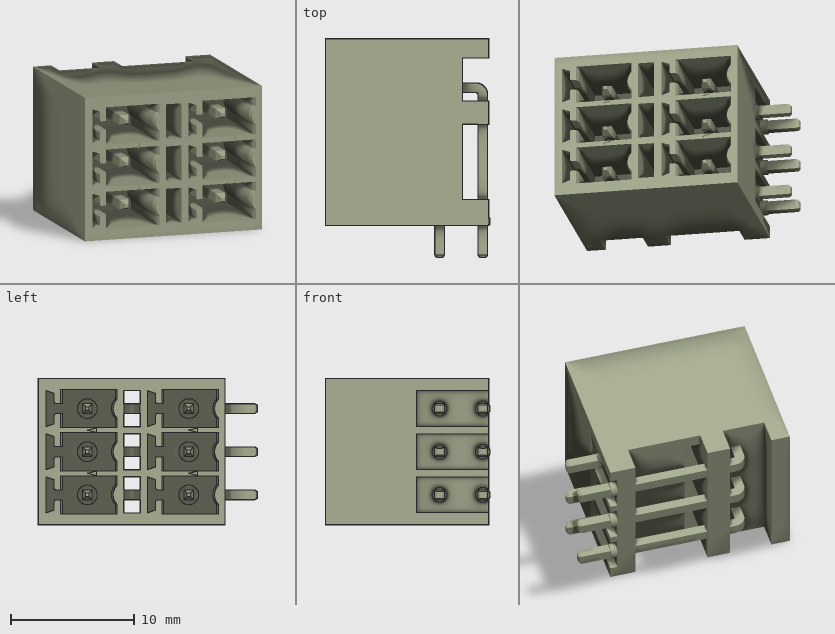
import cadquery as cq
import math


ROW_PITCH = 3.5
COLUMN_PITCH = 8.25
ROWS = [-ROW_PITCH, 0, ROW_PITCH]
LOWER_COLUMN_Y = 2.95
COLUMNS = [LOWER_COLUMN_Y, LOWER_COLUMN_Y + COLUMN_PITCH]

HOUSING_X = 13.3
HOUSING_Y = 15.18
HOUSING_Z = 11.9
REAR_RECESS_X = 11.16
REAR_RECESSES_Y = [(2.12, 8.22), (10.13, 13.62)]
WINDOW_Y = (6.9, 8.22)
WINDOW_HEIGHT = 2.92

PIN_WIDTH = 0.8
TAIL_LENGTH = 17.8 - HOUSING_Y
REAR_TAIL_X = 12.8
TAILS_X = [REAR_TAIL_X - ROW_PITCH, REAR_TAIL_X]
BEND_INNER_RADIUS = 0.15
BEND_OUTER_RADIUS = BEND_INNER_RADIUS + PIN_WIDTH
PIN_TIP_X = 1.12
PIN_TIP_LENGTH = 0.78
PIN_TIP_WIDTH = 0.27
TAIL_TIP_TOTAL = 0.35
TAIL_TIP_LENGTH = 0.21
TAIL_TIP_INSET = 0.12
TAIL_TIP_RADIUS = 0.3

POCKET_START_X = 7.42
POCKET_HEIGHT = 2.9
POCKET_DEPTH = 0.6
COLLAR_RADIUS = 0.6
COLLAR_HEIGHT = 0.53

CAVITY_DEPTH = 6.95
CAVITY_HALF_HEIGHT = 1.55
CAVITY_RIDGE_SIDE = 2.17
CAVITY_KEY_SIDE = -2.42
KEY_HALF_HEIGHT = 0.78
KEY_RISE = 0.32
LEAD_IN_DEPTH = 0.45
LEAD_IN_WIDTH = 0.15
NECK_HALF_HEIGHT = 0.41
NECK_ROUNDING = 0.15
SLOT_NEAR = 2.69
SLOT_FAR = 3.35
SLOT_NEAR_HALF_HEIGHT = 1.23
SLOT_FAR_HALF_HEIGHT = 1.46
BOSS_RADIUS = 0.8
BOSS_HEIGHT = 0.35

MARK_LENGTH = 0.73
MARK_WIDTH = 0.35
MARK_DEPTH = 0.12


def block(x, y, z):
    """Box spanning the given (low, high) ranges."""
    size = (x[1] - x[0], y[1] - y[0], z[1] - z[0])
    return cq.Workplane("XY").box(*size, centered=False).translate((x[0], y[0], z[0]))


def centred_range(middle, length):
    return (middle - length / 2, middle + length / 2)


def cavity_outline(plane, inset):
    """Rectangle with a rounded key on its -Y side; both Y sides move inwards by inset."""
    ridge_side = CAVITY_RIDGE_SIDE - inset
    key_side = CAVITY_KEY_SIDE + inset
    return (
        plane.moveTo(ridge_side, -CAVITY_HALF_HEIGHT)
        .lineTo(ridge_side, CAVITY_HALF_HEIGHT)
        .lineTo(key_side, CAVITY_HALF_HEIGHT)
        .lineTo(key_side, KEY_HALF_HEIGHT)
        .threePointArc((key_side + KEY_RISE, 0), (key_side, -KEY_HALF_HEIGHT))
        .lineTo(key_side, -CAVITY_HALF_HEIGHT)
        .close()
    )


def latch_slot():
    """Slot with sloped ends, joined to the cavity by a neck with a rounded mouth."""
    arc_offset = NECK_ROUNDING * (1 - math.sqrt(0.5))
    neck_start = SLOT_NEAR - NECK_ROUNDING
    mouth = NECK_HALF_HEIGHT + NECK_ROUNDING
    arc_middle = (SLOT_NEAR - arc_offset, NECK_HALF_HEIGHT + arc_offset)
    return (
        cq.Workplane("YZ")
        .moveTo(0, -NECK_HALF_HEIGHT)
        .lineTo(neck_start, -NECK_HALF_HEIGHT)
        .threePointArc((arc_middle[0], -arc_middle[1]), (SLOT_NEAR, -mouth))
        .lineTo(SLOT_NEAR, -SLOT_NEAR_HALF_HEIGHT)
        .lineTo(SLOT_FAR, -SLOT_FAR_HALF_HEIGHT)
        .lineTo(SLOT_FAR, SLOT_FAR_HALF_HEIGHT)
        .lineTo(SLOT_NEAR, SLOT_NEAR_HALF_HEIGHT)
        .lineTo(SLOT_NEAR, mouth)
        .threePointArc(arc_middle, (neck_start, NECK_HALF_HEIGHT))
        .lineTo(0, NECK_HALF_HEIGHT)
        .close()
        .extrude(CAVITY_DEPTH)
    )


def plug_cavity():
    """Space for one plug pole, with its pin axis along X through the origin."""
    straight = cavity_outline(cq.Workplane("YZ"), LEAD_IN_WIDTH).extrude(CAVITY_DEPTH)
    mouth = cavity_outline(cq.Workplane("YZ"), 0)
    lead_in = cavity_outline(mouth.workplane(offset=LEAD_IN_DEPTH), LEAD_IN_WIDTH).loft(ruled=True)
    boss = (
        cq.Workplane("YZ", origin=(CAVITY_DEPTH - BOSS_HEIGHT, 0, 0))
        .circle(BOSS_RADIUS)
        .extrude(BOSS_HEIGHT)
    )
    return straight.union(lead_in).union(latch_slot()).cut(boss)


def rib_mark():
    """Triangular mark pointing to +Y, sunk into the mating face."""
    corners = [
        (0, 0),
        (-MARK_LENGTH, MARK_WIDTH / 2),
        (-MARK_LENGTH, -MARK_WIDTH / 2),
    ]
    return cq.Workplane("YZ").polyline(corners).close().extrude(MARK_DEPTH)


def tail_tip(tail_x):
    """Free end of a solder tail, tapered in Z and with its corners rounded in X."""
    half = PIN_WIDTH / 2
    base_y = TAIL_TIP_TOTAL - TAIL_LENGTH
    taper_y = TAIL_TIP_LENGTH - TAIL_LENGTH
    end_half = half - TAIL_TIP_INSET
    tapered = (
        cq.Workplane("YZ", origin=(tail_x - half, 0, 0))
        .polyline([
            (base_y, -half),
            (taper_y, -half),
            (-TAIL_LENGTH, -end_half),
            (-TAIL_LENGTH, end_half),
            (taper_y, half),
            (base_y, half),
        ])
        .close()
        .extrude(PIN_WIDTH)
    )
    rounded = block((tail_x - half, tail_x + half), (-TAIL_LENGTH, base_y), (-half, half))
    rounded = rounded.edges("|Z and <Y").fillet(TAIL_TIP_RADIUS)
    return tapered.intersect(rounded)


def pin(contact_y, tail_x):
    """Square pin running along X from the contact tip, then bent down to its solder tail."""
    shank_x = PIN_TIP_X + PIN_TIP_LENGTH
    half = PIN_WIDTH / 2
    shank_end = tail_x + half
    bar = block((shank_x, shank_end), centred_range(contact_y, PIN_WIDTH), (-half, half))
    tail_y = (TAIL_TIP_TOTAL - TAIL_LENGTH, contact_y + half)
    tail = block((tail_x - half, shank_end), tail_y, (-half, half))
    inner_corner = cq.selectors.NearestToPointSelector((tail_x - half, contact_y - half, 0))
    outer_corner = cq.selectors.NearestToPointSelector((shank_end, contact_y + half, 0))
    bent = bar.union(tail).clean()
    bent = bent.edges("|Z").edges(inner_corner).fillet(BEND_INNER_RADIUS)
    bent = bent.edges("|Z").edges(outer_corner).fillet(BEND_OUTER_RADIUS)
    contact_tip = (
        cq.Workplane("YZ", origin=(PIN_TIP_X, contact_y, 0))
        .rect(PIN_TIP_WIDTH, PIN_TIP_WIDTH)
        .workplane(offset=PIN_TIP_LENGTH)
        .rect(PIN_WIDTH, PIN_WIDTH)
        .loft(ruled=True)
    )
    return bent.union(tail_tip(tail_x)).union(contact_tip)


def collar(tail_x):
    """Round collar around a solder tail, standing on the pocket floor."""
    return (
        cq.Workplane("XZ", origin=(tail_x, POCKET_DEPTH, 0))
        .circle(COLLAR_RADIUS)
        .extrude(COLLAR_HEIGHT)
    )


housing = block((0, HOUSING_X), (0, HOUSING_Y), centred_range(0, HOUSING_Z))
for recess_y in REAR_RECESSES_Y:
    housing = housing.cut(block((REAR_RECESS_X, HOUSING_X), recess_y, centred_range(0, HOUSING_Z)))

cavity = plug_cavity()
for row_z in ROWS:
    for column_y in COLUMNS:
        housing = housing.cut(cavity.translate((0, column_y, row_z)))
    housing = housing.cut(block((0, HOUSING_X), WINDOW_Y, centred_range(row_z, WINDOW_HEIGHT)))
    pocket_z = centred_range(row_z, POCKET_HEIGHT)
    housing = housing.cut(block((POCKET_START_X, HOUSING_X), (0, POCKET_DEPTH), pocket_z))

for lower_z, upper_z in zip(ROWS, ROWS[1:]):
    for column_y in COLUMNS:
        housing = housing.cut(rib_mark().translate((0, column_y, (lower_z + upper_z) / 2)))

result = housing
for contact_y, tail_x in zip(COLUMNS, TAILS_X):
    bent_pin = pin(contact_y, tail_x)
    for row_z in ROWS:
        result = result.union(collar(tail_x).translate((0, 0, row_z)))
        result = result.union(bent_pin.translate((0, 0, row_z)))